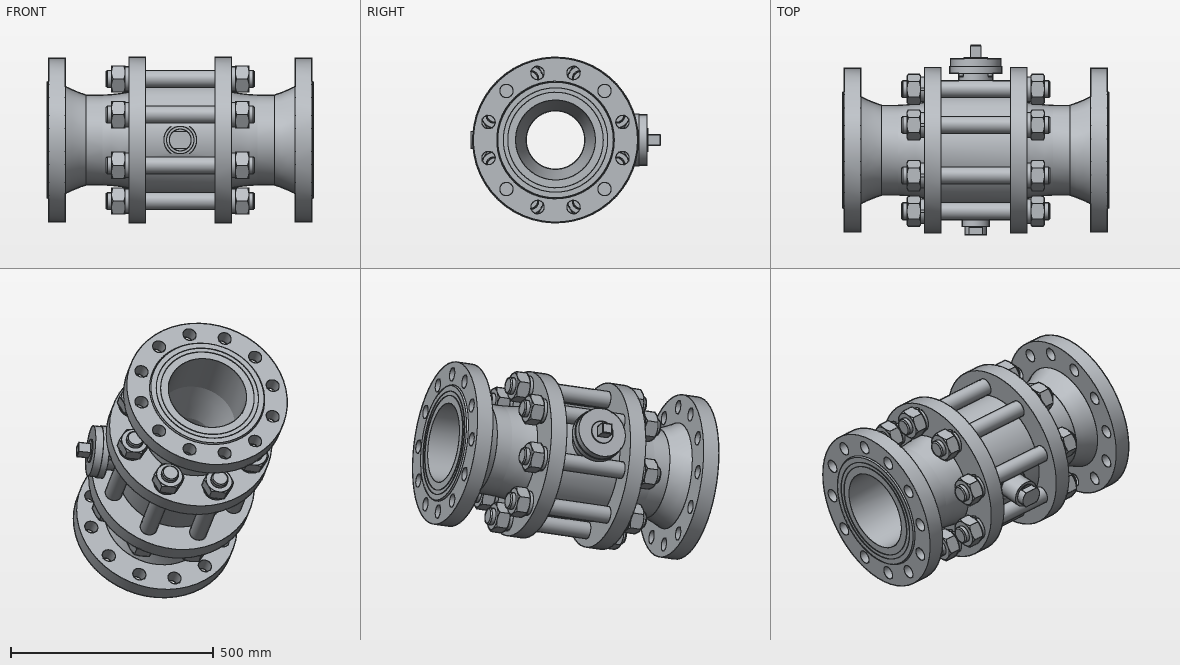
import cadquery as cq
import math


length = 658.0
half_length = length / 2
flange_thickness = 41.5
raised_face_height = 4.0
flange_front = half_length - raised_face_height
flange_back = flange_front - flange_thickness
neck_outer = 232.0
neck_inner = 191.5
body_flange_outer = 127.0
body_flange_inner = body_flange_outer - flange_thickness

end_flange_dia = 405.0
body_flange_dia = 410.0
raised_face_dia = 285.5
raised_face_root_dia = 291.0
gasket_ring_outer_dia = 258.0
gasket_ring_inner_dia = 236.0
gasket_ring_depth = 1.0
hub_dia = 264.5
neck_dia = 222.5
flare_dia = 237.0
hub_hollow = 1.0
body_dia = 280.0
port_dia = 197.5
ball_bore_dia = 144.0

flange_hole_count = 12
flange_hole_dia = 33.0
flange_hole_circle = 343.0

rod_count = 8
rod_dia = 42.0
rod_circle = 326.5
rod_end = 183.0
rod_tip_length = 3.0
rod_tip_inset = 2.5
washer_dia = 61.0
washer_thickness = 9.0
washer_split = 6.5
nut_height = 33.5
nut_across_flats = 65.0
nut_bevel_height = 3.0
nut_bevel_dia = 65.0

trunnion_collar_dia = 68.0
trunnion_collar_end = 189.0
trunnion_stem_dia = 54.0
trunnion_stem_end = 209.0
trunnion_flat_gap = 42.0
trunnion_flat_length = 18.0
spotface_dia = 81.0
spotface_level = 136.0

stem_neck_dia = 84.0
pad_lower_dia = 129.0
pad_upper_dia = 125.0
pad_bottom = 190.0
pad_joint = 206.5
pad_top = 226.5
gland_dia = 57.0
gland_height = 2.5
stem_square = 26.0
stem_end = 260.0
stem_chamfer = 2.0
pad_bolt_dia = 12.0
pad_bolt_circle = 102.0
pad_bolt_count = 4
pad_bolt_drop = 8.5
pad_bolt_chamfer = 2.0


def x_cylinder(diameter, start, end):
    return cq.Workplane("YZ").workplane(offset=start).circle(diameter / 2).extrude(end - start)


def y_cylinder(diameter, start, end):
    return cq.Workplane("XZ").workplane(offset=-end).circle(diameter / 2).extrude(end - start)


def hollow_midpoint(x_a, radius_a, x_b, radius_b):
    return ((x_a + x_b) / 2, (radius_a + radius_b) / 2 - hub_hollow)


def half_shell():
    """Solid of revolution of the +X end: flanges, hub, neck and flare."""
    hub_mid = hollow_midpoint(flange_back, hub_dia / 2, neck_outer, neck_dia / 2)
    flare_mid = hollow_midpoint(neck_inner, neck_dia / 2, body_flange_outer, flare_dia / 2)
    return (
        cq.Workplane("XY")
        .moveTo(body_flange_inner, 0)
        .lineTo(half_length, 0)
        .lineTo(half_length, raised_face_dia / 2)
        .lineTo(flange_front, raised_face_root_dia / 2)
        .lineTo(flange_front, end_flange_dia / 2)
        .lineTo(flange_back, end_flange_dia / 2)
        .lineTo(flange_back, hub_dia / 2)
        .threePointArc(hub_mid, (neck_outer, neck_dia / 2))
        .lineTo(neck_inner, neck_dia / 2)
        .threePointArc(flare_mid, (body_flange_outer, flare_dia / 2))
        .lineTo(body_flange_outer, body_flange_dia / 2)
        .lineTo(body_flange_inner, body_flange_dia / 2)
        .close()
        .revolve(360, (0, 0, 0), (1, 0, 0))
    )


def half_bore():
    """Port of the +X end, narrowing to the bore of the ball."""
    return (
        cq.Workplane("XY")
        .moveTo(body_flange_inner, 0)
        .lineTo(half_length, 0)
        .lineTo(half_length, port_dia / 2)
        .lineTo(neck_inner, port_dia / 2)
        .lineTo(body_flange_inner, ball_bore_dia / 2)
        .close()
        .revolve(360, (0, 0, 0), (1, 0, 0))
    )


def half_end_cuts():
    """Flange holes and the gasket ring groove of the +X end."""
    holes = (
        cq.Workplane("YZ")
        .workplane(offset=flange_back)
        .polarArray(flange_hole_circle / 2, 180 / flange_hole_count, 360, flange_hole_count)
        .circle(flange_hole_dia / 2)
        .extrude(flange_thickness)
    )
    groove = (
        cq.Workplane("YZ")
        .workplane(offset=half_length - gasket_ring_depth)
        .circle(gasket_ring_outer_dia / 2)
        .circle(gasket_ring_inner_dia / 2)
        .extrude(gasket_ring_depth)
    )
    return holes.union(groove)


def half_rod():
    """+X half of a tie rod on the pipe axis, with its split washer and nut."""
    washer_end = body_flange_outer + washer_thickness
    nut_end = washer_end + nut_height
    nut_across_corners = nut_across_flats / math.cos(math.pi / 6)
    nut = (
        cq.Workplane("YZ")
        .workplane(offset=washer_end)
        .polygon(6, nut_across_corners)
        .extrude(nut_height)
    )
    bevelled_envelope = (
        cq.Workplane("XY")
        .moveTo(washer_end, 0)
        .lineTo(washer_end, nut_bevel_dia / 2)
        .lineTo(washer_end + nut_bevel_height, nut_across_corners / 2)
        .lineTo(nut_end - nut_bevel_height, nut_across_corners / 2)
        .lineTo(nut_end, nut_bevel_dia / 2)
        .lineTo(nut_end, 0)
        .close()
        .revolve(360, (0, 0, 0), (1, 0, 0))
    )
    half_rod_bar = x_cylinder(rod_dia, 0, rod_end).faces(">X").chamfer(rod_tip_length, rod_tip_inset)
    split = (
        cq.Workplane("XY")
        .box(washer_thickness, washer_split, washer_dia / 2, centered=(False, True, False))
        .translate((body_flange_outer, 0, -washer_dia / 2))
    )
    washer = x_cylinder(washer_dia, body_flange_outer, washer_end).cut(split)
    return half_rod_bar.union(washer).union(nut.intersect(bevelled_envelope))


def both_halves(half):
    return half.union(half.mirror("YZ"))


def trunnion():
    stem = y_cylinder(trunnion_stem_dia, -trunnion_stem_end, -trunnion_collar_end)
    flat_center = -trunnion_stem_end + trunnion_flat_length / 2
    flat_cut_height = trunnion_stem_dia - trunnion_flat_gap
    for side in (-1, 1):
        cutter = cq.Workplane("XY").box(trunnion_stem_dia, trunnion_flat_length, flat_cut_height)
        stem = stem.cut(cutter.translate((0, flat_center, side * trunnion_stem_dia / 2)))
    collar = y_cylinder(trunnion_collar_dia, -trunnion_collar_end, -spotface_level)
    return collar.union(stem)


def spotface():
    return y_cylinder(spotface_dia, -body_dia / 2, -spotface_level)


def actuator_pad():
    gland_top = pad_top + gland_height
    square = (
        cq.Workplane("XZ")
        .workplane(offset=-gland_top)
        .rect(stem_square, stem_square)
        .extrude(gland_top - stem_end)
        .faces(">Y")
        .chamfer(stem_chamfer)
    )
    pad = (
        y_cylinder(stem_neck_dia, spotface_level, pad_bottom)
        .union(y_cylinder(pad_lower_dia, pad_bottom, pad_joint))
        .union(y_cylinder(pad_upper_dia, pad_joint, pad_top))
        .union(y_cylinder(gland_dia, pad_top, gland_top))
        .union(square)
    )
    bolt_tip = pad_bottom - pad_bolt_drop
    bolt = y_cylinder(pad_bolt_dia, bolt_tip, pad_joint).faces("<Y").chamfer(pad_bolt_chamfer)
    bolt = bolt.translate((pad_bolt_circle / 2, 0, 0))
    for index in range(pad_bolt_count):
        angle = (index + 0.5) * 360 / pad_bolt_count
        pad = pad.union(bolt.rotate((0, 0, 0), (0, 1, 0), angle))
    return pad


body = x_cylinder(body_dia, -body_flange_inner, body_flange_inner)
shell = body.union(both_halves(half_shell())).cut(spotface())
result = shell.union(trunnion()).union(actuator_pad())

rod_side = half_rod()
rod = rod_side.union(rod_side.rotate((0, 0, 0), (0, 1, 0), 180)).clean()
for index in range(rod_count):
    angle = (index + 0.5) * 360 / rod_count
    offset_y = rod_circle / 2 * math.cos(math.radians(angle))
    offset_z = rod_circle / 2 * math.sin(math.radians(angle))
    result = result.union(rod.translate((0, offset_y, offset_z)))

ball_bore = x_cylinder(ball_bore_dia, -body_flange_inner, body_flange_inner)
bore = ball_bore.union(both_halves(half_bore()))
result = result.cut(bore).cut(both_halves(half_end_cuts()))